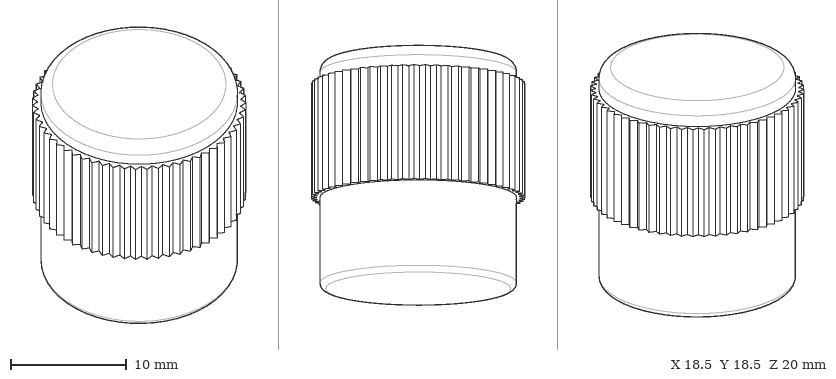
import cadquery as cq
import math

height = 20.0
body_diameter = 17.0
top_rim_radius = 1.0
bottom_rim_radius = 0.5

band_bottom = 8.0
band_top = 18.0
tooth_count = 59
across_tips = 18.48

pitch_angle = 2 * math.pi / tooth_count
tip_radius = across_tips / 2 / math.cos(pitch_angle / 4)

root_radius = tip_radius / (math.cos(pitch_angle / 2) + math.sin(pitch_angle / 2))


def polar_point(radius, angle):
    return (radius * math.cos(angle), radius * math.sin(angle))


def make_body():
    body = cq.Workplane("XY").circle(body_diameter / 2).extrude(height)
    body = body.faces(">Z").edges().fillet(top_rim_radius)
    return body.faces("<Z").edges().fillet(bottom_rim_radius)


def make_grip_band():
    first_tip_angle = math.pi / 2
    outline = []
    for tooth in range(tooth_count):
        tip_angle = first_tip_angle + tooth * pitch_angle
        outline.append(polar_point(tip_radius, tip_angle))
        outline.append(polar_point(root_radius, tip_angle + pitch_angle / 2))
    band = cq.Workplane("XY").workplane(offset=band_bottom).polyline(outline).close()
    return band.extrude(band_top - band_bottom)


result = make_body().union(make_grip_band())